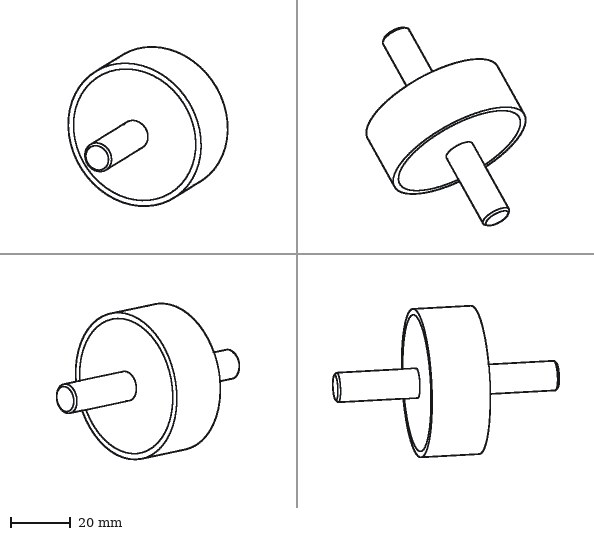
import cadquery as cq

total_length = 76.0
rubber_diameter = 50.0
rubber_length = 20.0

plate_diameter = 46.0
plate_thickness = 2.0
stud_diameter = 10.0
stud_chamfer = 0.75

rubber_face = rubber_length / 2
plate_back = rubber_face - plate_thickness
stud_tip = total_length / 2


def cylinder_along_y(diameter, start, length, direction=1):
    """Cylinder on the Y axis, from Y = start toward +Y or -Y."""
    return cq.Workplane(
        cq.Solid.makeCylinder(
            diameter / 2, length, cq.Vector(0, start, 0), cq.Vector(0, direction, 0)
        )
    )


def make_plate(direction):
    """Round plate that fills the recess in one rubber face."""
    return cylinder_along_y(plate_diameter, direction * plate_back, plate_thickness, direction)


def make_rubber():
    """Rubber block with a shallow round recess in each face."""
    block = cylinder_along_y(rubber_diameter, -rubber_face, rubber_length)
    for direction in (-1, 1):
        block = block.cut(make_plate(direction))
    return block.solids()


def make_stud_fitting(direction):
    """Plate with its stud, chamfered at the outer end."""
    tip_face = ">Y" if direction > 0 else "<Y"
    stud = cylinder_along_y(stud_diameter, direction * plate_back, stud_tip - plate_back, direction)
    stud = stud.faces(tip_face).edges().chamfer(stud_chamfer)
    return make_plate(direction).union(stud).solids()


rubber = make_rubber()
stud_fittings = [make_stud_fitting(direction) for direction in (-1, 1)]

result = cq.Compound.makeCompound([rubber.val(), *[fitting.val() for fitting in stud_fittings]])